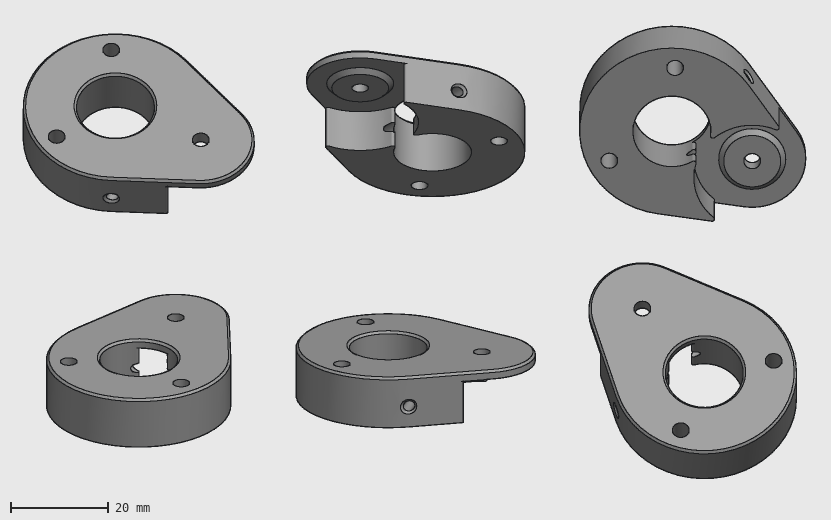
import cadquery as cq
import math

total_length = 49.55
large_end_diameter = 37.9
large_end_radius = large_end_diameter / 2
small_end_radius = 11.0
small_end_x = total_length - large_end_radius - small_end_radius
height = 11.0
edge_chamfer = 0.5

bore_diameter = 16.0
mounting_hole_diameter = 3.4
rear_hole_circle_radius = 14.45
rear_hole_angles = (120, 240)

relief_radius = 12.0
plate_thickness = 1.95
relief_height = height - plate_thickness
relief_edge_fillet = 0.5
edge_match_tolerance = 0.005
boss_base_radius = 6.9
boss_height = 1.05
boss_tip_radius = boss_base_radius - boss_height

cross_hole_diameter = 2.25
countersink_width = 0.5
cross_hole_z = 4.45

flank_cos = (large_end_radius - small_end_radius) / small_end_x
flank_sin = math.sqrt(1 - flank_cos**2)
large_tangent_x = large_end_radius * flank_cos
large_tangent_y = large_end_radius * flank_sin
small_tangent_x = small_end_x + small_end_radius * flank_cos
small_tangent_y = small_end_radius * flank_sin


def make_teardrop():
    body = (
        cq.Workplane("XY")
        .moveTo(large_tangent_x, large_tangent_y)
        .threePointArc((-large_end_radius, 0), (large_tangent_x, -large_tangent_y))
        .lineTo(small_tangent_x, -small_tangent_y)
        .threePointArc((small_end_x + small_end_radius, 0), (small_tangent_x, small_tangent_y))
        .close()
        .extrude(height)
    )
    return body.faces(">Z").chamfer(edge_chamfer)


def cut_bore(body):
    bore = cq.Workplane("XY").circle(bore_diameter / 2).extrude(height)
    bore_chamfer = cq.Solid.makeCone(
        bore_diameter / 2,
        bore_diameter / 2 + edge_chamfer,
        edge_chamfer,
        pnt=cq.Vector(0, 0, height - edge_chamfer),
    )
    return body.cut(bore).cut(cq.Workplane(obj=bore_chamfer))


def cut_relief(body):
    relief = cq.Workplane("XY").center(small_end_x, 0).circle(relief_radius).extrude(relief_height)
    body = body.cut(relief)
    bore_edges_x = (small_end_x**2 + (bore_diameter / 2) ** 2 - relief_radius**2) / (2 * small_end_x)
    half_chord = math.sqrt(relief_radius**2 - small_end_radius**2)
    flank_edges_x = small_tangent_x - half_chord * flank_sin

    def on_relief_rim(edge):
        x = edge.Center().x
        return min(abs(x - bore_edges_x), abs(x - flank_edges_x)) < edge_match_tolerance

    edges = body.edges("|Z").filter(on_relief_rim)
    return edges.fillet(relief_edge_fillet)


def add_boss(body):
    boss = cq.Solid.makeCone(
        boss_base_radius,
        boss_tip_radius,
        boss_height,
        pnt=cq.Vector(small_end_x, 0, relief_height),
        dir=cq.Vector(0, 0, -1),
    )
    return body.union(cq.Workplane(obj=boss))


def cut_mounting_holes(body):
    centers = [(small_end_x, 0)]
    for angle in rear_hole_angles:
        turn = math.radians(angle)
        centers.append((rear_hole_circle_radius * math.cos(turn), rear_hole_circle_radius * math.sin(turn)))
    holes = cq.Workplane("XY").pushPoints(centers).circle(mounting_hole_diameter / 2).extrude(height)
    return body.cut(holes)


def cut_cross_hole(body):
    hole = (
        cq.Workplane("XZ")
        .center(large_tangent_x, cross_hole_z)
        .circle(cross_hole_diameter / 2)
        .extrude(large_end_radius, both=True)
    )
    body = body.cut(hole)
    reach = cross_hole_diameter
    for side in (-1, 1):
        mouth_y = side * large_tangent_y
        rim = cq.selectors.BoxSelector(
            (large_tangent_x - reach, mouth_y - reach, cross_hole_z - reach),
            (large_tangent_x + reach, mouth_y + reach, cross_hole_z + reach),
            boundingbox=True,
        )
        body = body.edges(rim).chamfer(countersink_width)
    return body


result = make_teardrop()
result = cut_bore(result)
result = cut_relief(result)
result = add_boss(result)
result = cut_mounting_holes(result)
result = cut_cross_hole(result)